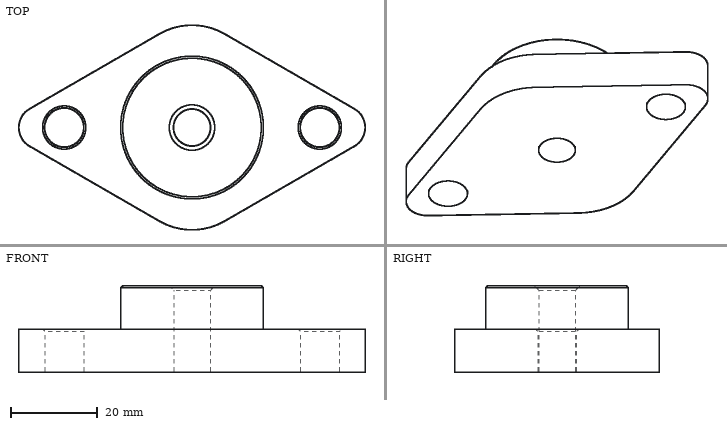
import cadquery as cq
import math

plate_length = 80.0
plate_thickness = 10.0
side_angle = math.radians(30.0)
tip_radius = 5.0
flank_radius = 15.0

boss_diameter = 33.0
boss_height = 10.0
boss_chamfer = 0.5

bore_diameter = 8.5
bore_chamfer = 1.0
bolt_diameter = 9.0
bolt_chamfer = 0.5
bolt_offset = 29.5

total_height = plate_thickness + boss_height
tip_center_x = plate_length / 2 - tip_radius
side_distance = tip_center_x * math.sin(side_angle) + tip_radius
flank_center_y = (side_distance - flank_radius) / math.cos(side_angle)
flank_end_y = flank_center_y + flank_radius
tip_tangent_x = tip_center_x + tip_radius * math.sin(side_angle)
tip_tangent_y = tip_radius * math.cos(side_angle)
flank_tangent_x = flank_radius * math.sin(side_angle)
flank_tangent_y = flank_center_y + flank_radius * math.cos(side_angle)


def make_plate():
    """Rhombus with every corner rounded by an arc tangent to its sides."""
    return (
        cq.Workplane("XY")
        .moveTo(tip_tangent_x, -tip_tangent_y)
        .threePointArc((plate_length / 2, 0), (tip_tangent_x, tip_tangent_y))
        .lineTo(flank_tangent_x, flank_tangent_y)
        .threePointArc((0, flank_end_y), (-flank_tangent_x, flank_tangent_y))
        .lineTo(-tip_tangent_x, tip_tangent_y)
        .threePointArc((-plate_length / 2, 0), (-tip_tangent_x, -tip_tangent_y))
        .lineTo(-flank_tangent_x, -flank_tangent_y)
        .threePointArc((0, -flank_end_y), (flank_tangent_x, -flank_tangent_y))
        .close()
        .extrude(plate_thickness)
    )


def make_boss():
    """Cylinder standing on the plate, with a chamfered top edge."""
    return (
        cq.Workplane("XY")
        .circle(boss_diameter / 2)
        .extrude(total_height)
        .faces(">Z")
        .chamfer(boss_chamfer)
    )


def hole_cutter(x, diameter, top_z, chamfer):
    """Through-hole tool on the X axis, widening at 45 degrees to its upper rim."""
    radius = diameter / 2
    rim_radius = radius + chamfer
    return (
        cq.Workplane("XZ")
        .moveTo(0, 0)
        .lineTo(radius, 0)
        .lineTo(radius, top_z - chamfer)
        .lineTo(rim_radius, top_z)
        .lineTo(0, top_z)
        .close()
        .revolve(360, (0, 0, 0), (0, 1, 0))
        .translate((x, 0, 0))
    )


result = make_plate().union(make_boss())
result = result.cut(hole_cutter(0, bore_diameter, total_height, bore_chamfer))
for bolt_x in (-bolt_offset, bolt_offset):
    result = result.cut(hole_cutter(bolt_x, bolt_diameter, plate_thickness, bolt_chamfer))